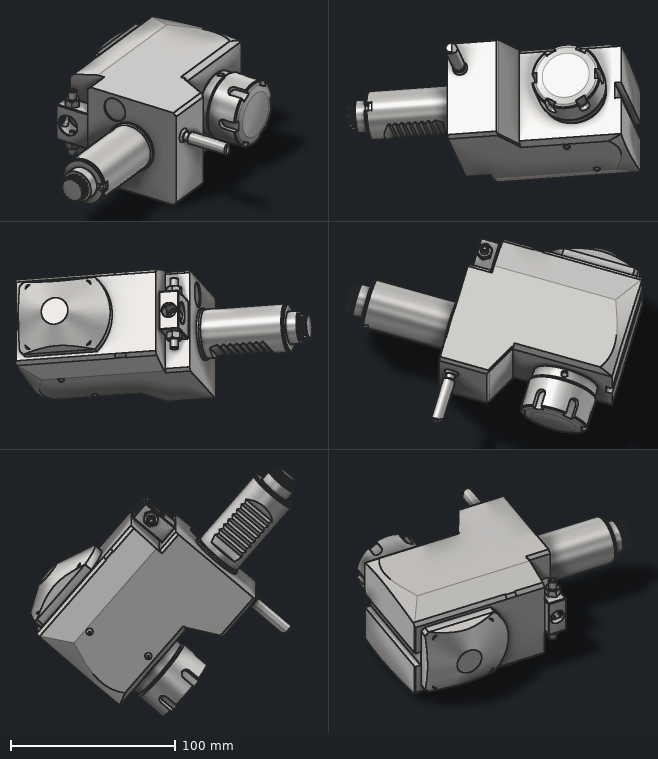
import cadquery as cq
import math


HALF_HEIGHT = 32.0
HALF_WIDTH = 32.1
LEFT_X = -54.9
HEAD_RIGHT_X = 12.1
BACK_Y = 104.0
STEP_Y = 15.4
HEAD_FRONT_Y = 41.0
SLOPE_END = (30.5, 31.5)
SLOPE_CORNER_Y = 30.3
SLOPE_TOP_X = -34.9
SLOPE_FOOT_X = -52.7
SLOPE_FOOT_Z = 27.4
LEFT_FACE_Z = 25.0
BACK_LEFT_BEVEL = 0.7
CREST_X, CREST_TOP_Y, CREST_LOW_Y = -5.5, 100.0, 112.9
CURVE_LEFT_TOP_Y, CURVE_LEFT_LOW_Y = 92.3, 103.1
CURVE_RIGHT_TOP_Y, CURVE_RIGHT_LOW_Y = 95.6, 109.1
CURVE_MIDDLE_TOP = (-21.5, 97.3)
CURVE_MIDDLE_LOW = (-30.8, 111.2)
BLOCK_BEVEL = 2.0
HEAD_BEVEL = 3.0
SLOPE_BEVEL = 0.9
PAD_X, PAD_Z = -53.2, 27.2
PAD_START_Y, PAD_END_Y = 34.5, 41.2
BACK_SLOT_HALF = 5.1
BACK_SLOT_DEPTH = 4.0
PLUG_X, PLUG_Z, PLUG_R, PLUG_DEPTH = -12.5, 21.5, 7.7, 1.0

SHANK_R = 15.0
COLLAR_R, COLLAR_LENGTH = 15.9, 1.4
COLLAR_TAPER = 1.0
SHANK_END_Y = -54.7
SHANK_BEVEL = 0.7
RING_MARK_Y = -53.0
NECK_R, NECK_END_Y = 10.1, -61.2
SPLINE_END_Y = -67.0
SPLINE_TIP_R, SPLINE_ROOT_R, SPLINE_TEETH = 8.2, 7.2, 18
SPLINE_TIP_SHARE, SPLINE_ROOT_SHARE = 0.15, 0.3
KEYWAY_WIDTH, KEYWAY_LENGTH, KEYWAY_FLOOR_X = 5.5, 4.8, 13.3
KEYWAY_INNER_WIDTH, KEYWAY_INNER_LENGTH = 4.1, 2.4
RACK_START_Y, RACK_SLOPE_Y, RACK_END_Y = -6.7, -40.4, -44.6
RACK_TIP_Z, RACK_ROOT_Z = -11.8, -10.6
RACK_FIRST_TIP_Y, RACK_PITCH, RACK_TEETH = -13.7, 4.1, 7

SPINDLE_Y = 74.9
RING_R, RING_END_X, RING_BEVEL = 20.2, 19.5, 0.7
SPINDLE_GROOVE_R = 16.6
NUT_R, NUT_START_X, NUT_END_X, NUT_FACE_R = 21.2, 20.3, 41.0, 14.5
NUT_BEVEL, NUT_SHOULDER_X = 0.7, 39.7
NUT_NOSE_R = 18.8
NUT_SLOT_WIDTH, NUT_SLOT_DEPTH, NUT_SLOT_START_X, NUT_SLOTS = 6.2, 3.2, 28.5, 6
RING_HOLE_R, RING_HOLE_DEPTH = 2.0, 3.5
CAP_R, CAP_TIP_R = 32.1, 8.4
CAP_RIM_X, CAP_TIP_X = -60.2, -71.0
CAP_HALF_HEIGHT, CAP_BACK_Y, CAP_CORNER = 22.9, 99.7, 2.4
CAP_DRAFT_X, CAP_DRAFT_Z = -65.0, 20.7
CAP_SCREW_R, CAP_SCREW_OFFSET, CAP_SCREW_X = 2.4, 18.1, -62.5

VALVE_LEFT_X, VALVE_HALF_HEIGHT = -55.7, 12.1
VALVE_FRONT_Y, VALVE_BACK_Y = 0.9, 13.2
VALVE_BEVEL = 0.5
VALVE_AXIS_X, VALVE_AXIS_Y = -47.0, 7.0
CAVITY_R, CAVITY_DEPTH = 6.5, 11.1
SIDE_BORE_R, SIDE_BORE_DEPTH = 4.6, 18.8
STUD_R, STUD_END_Z, STUD_Y = 2.5, 22.2, 5.8
PASSAGE_R, CAVITY_BEVEL = 1.5, 0.3
HEX_NUT_ACROSS, HEX_NUT_END_Z, HEX_NUT_BEVEL = 9.5, 16.6, 0.7
HEX_SOCKET_ACROSS, HEX_SOCKET_DEPTH = 3.0, 2.0

ROD_Y, ROD_Z = 8.0, 13.3
ROD_R, ROD_START_X, ROD_END_X = 3.8, 37.6, 65.0
ROD_NECK_R, ROD_SEAT_X = 2.7, 33.9
ROD_SEAT_R, ROD_SEAT_END_R = 4.5, 3.5
ROD_END_BEVEL, ROD_SLANT = 0.9, 2.9

NIPPLE_POSITIONS = [(-32.0, 80.9), (5.0, 69.0)]
NIPPLE_R, NIPPLE_TIP_R, NIPPLE_HEIGHT = 2.0, 0.7, 1.4

OVERLAP = 1.7
CLEAR = 17.1


def prism_y(points, y_start, y_end):
    """Extrude an (x, z) outline from y_start to y_end."""
    plane = cq.Workplane("XZ", origin=(0, y_start, 0))
    return plane.polyline(points).close().extrude(y_start - y_end)


def cylinder_y(radius, x, z, y_start, y_end):
    plane = cq.Workplane("XZ", origin=(x, y_start, z))
    return plane.circle(radius).extrude(y_start - y_end)


def cylinder_x(radius, y, z, x_start, x_end):
    plane = cq.Workplane("YZ", origin=(x_start, y, z))
    return plane.circle(radius).extrude(x_end - x_start)


def box(x_range, y_range, z_range):
    """Box between the given limits."""
    lows, highs = zip(x_range, y_range, z_range)
    sizes = [high - low for low, high in zip(lows, highs)]
    return cq.Workplane("XY", origin=lows).box(*sizes, centered=False)


def turned_x(profile, y, z):
    """Revolve an (x, radius) profile about an axis parallel to X."""
    points = [(profile[0][0], 0), *profile, (profile[-1][0], 0)]
    solid = cq.Workplane("XY").polyline(points).close().revolve(360, (0, 0, 0), (1, 0, 0))
    return solid.translate((0, y, z))


def both_heights(solid):
    """A solid together with its mirror image below Z = 0."""
    return solid.union(solid.mirror("XY"))


def edge_bevel(start, end, width):
    """Cutter for equal bevels on the top and bottom edges from start to end (material on the left)."""
    dx = end[0] - start[0]
    dy = end[1] - start[1]
    length = math.hypot(dx, dy)
    outward = cq.Vector(dy / length, -dx / length, 0)
    plane = cq.Plane(origin=(*start, HALF_HEIGHT), xDir=outward, normal=(dx, dy, 0))
    corner = [(-width - OVERLAP, -OVERLAP), (OVERLAP, -OVERLAP), (OVERLAP, width + OVERLAP)]
    return both_heights(cq.Workplane(plane).polyline(corner).close().extrude(length))


def back_rounding():
    """Cutter for the curved bevel between the top face and the back face."""
    top_right_x = HEAD_RIGHT_X - HEAD_BEVEL
    low_right_x = top_right_x + HALF_HEIGHT - SLOPE_FOOT_Z
    low_curve = [(SLOPE_FOOT_X, CURVE_LEFT_LOW_Y), CURVE_MIDDLE_LOW,
                 (CREST_X, CREST_LOW_Y), (low_right_x, CURVE_RIGHT_LOW_Y)]
    top_curve = [(SLOPE_TOP_X, CURVE_LEFT_TOP_Y), CURVE_MIDDLE_TOP,
                 (CREST_X, CREST_TOP_Y), (top_right_x, CURVE_RIGHT_TOP_Y)]
    far_y = BACK_Y + CLEAR

    def outline(plane, curve):
        plane = plane.moveTo(*curve[0]).spline(curve[1:], includeCurrent=True)
        return plane.lineTo(curve[-1][0], far_y).lineTo(curve[0][0], far_y).close()

    low = outline(cq.Workplane("XY", origin=(0, 0, SLOPE_FOOT_Z)), low_curve)
    low_and_top = outline(low.workplane(offset=HALF_HEIGHT - SLOPE_FOOT_Z), top_curve)
    return both_heights(low_and_top.loft(ruled=True))


def make_housing():
    head_corner = (HEAD_RIGHT_X, HEAD_FRONT_Y)
    plan = [
        (-HALF_WIDTH, 0), (HALF_WIDTH, 0), (HALF_WIDTH, SLOPE_CORNER_Y), SLOPE_END, head_corner,
        (HEAD_RIGHT_X, BACK_Y), (LEFT_X + BACK_LEFT_BEVEL, BACK_Y),
        (LEFT_X, BACK_Y - BACK_LEFT_BEVEL), (LEFT_X, STEP_Y), (-HALF_WIDTH, STEP_Y),
    ]
    upper_flank = [(SLOPE_TOP_X, HALF_HEIGHT), (SLOPE_FOOT_X, SLOPE_FOOT_Z), (LEFT_X, LEFT_FACE_Z)]
    lower_flank = [(x, -z) for x, z in reversed(upper_flank)]
    section = [(HALF_WIDTH, HALF_HEIGHT), *upper_flank, *lower_flank, (HALF_WIDTH, -HALF_HEIGHT)]

    housing = cq.Workplane("XY").workplane(offset=-HALF_HEIGHT).polyline(plan).close()
    housing = housing.extrude(2 * HALF_HEIGHT)
    front_space = box((-HALF_WIDTH, HALF_WIDTH), (0, STEP_Y), (-HALF_HEIGHT, HALF_HEIGHT))
    housing = housing.intersect(prism_y(section, STEP_Y, BACK_Y).union(front_space))

    bevels = [
        ((-HALF_WIDTH, STEP_Y), (-HALF_WIDTH, 0), BLOCK_BEVEL),
        ((HALF_WIDTH, 0), (HALF_WIDTH, HEAD_FRONT_Y), BLOCK_BEVEL),
        (SLOPE_END, head_corner, SLOPE_BEVEL),
        (head_corner, (HEAD_RIGHT_X, BACK_Y), HEAD_BEVEL),
    ]
    for start, end, width in bevels:
        housing = housing.cut(edge_bevel(start, end, width))
    housing = housing.cut(back_rounding())

    pad_section = [(LEFT_X, LEFT_FACE_Z), (PAD_X, PAD_Z), (SLOPE_FOOT_X, SLOPE_FOOT_Z)]
    housing = housing.union(both_heights(prism_y(pad_section, PAD_START_Y, PAD_END_Y)))

    back_slot = box((LEFT_X - CLEAR, HEAD_RIGHT_X + CLEAR), (BACK_Y - BACK_SLOT_DEPTH, BACK_Y + CLEAR),
                    (-BACK_SLOT_HALF, BACK_SLOT_HALF))
    plug_recess = cylinder_y(PLUG_R, PLUG_X, PLUG_Z, 0, PLUG_DEPTH)
    return housing.cut(back_slot).cut(plug_recess)


def make_spline():
    pitch = 2 * math.pi / SPLINE_TEETH
    points = []
    for tooth in range(SPLINE_TEETH):
        centre = -math.pi / 2 + tooth * pitch
        for radius, share in [(SPLINE_ROOT_R, -SPLINE_ROOT_SHARE), (SPLINE_TIP_R, -SPLINE_TIP_SHARE),
                              (SPLINE_TIP_R, SPLINE_TIP_SHARE), (SPLINE_ROOT_R, SPLINE_ROOT_SHARE)]:
            angle = centre + share * pitch
            points.append((radius * math.cos(angle), radius * math.sin(angle)))
    return prism_y(points, NECK_END_Y + OVERLAP, SPLINE_END_Y)


def make_rack_cut():
    """Cutter for the clamping teeth across the underside of the shank."""
    floor_z = -SHANK_R - CLEAR
    points = [(RACK_START_Y, floor_z), (RACK_START_Y, RACK_TIP_Z)]
    for tooth in range(RACK_TEETH):
        tip_y = RACK_FIRST_TIP_Y - tooth * RACK_PITCH
        points.append((tip_y + RACK_PITCH / 2, RACK_ROOT_Z))
        points.append((tip_y, RACK_TIP_Z))
    points.append((RACK_SLOPE_Y, RACK_ROOT_Z))
    points.append((RACK_END_Y, -SHANK_R))
    points.append((RACK_END_Y, floor_z))
    return cq.Workplane("YZ").polyline(points).close().extrude(SHANK_R + CLEAR, both=True)


def make_shank():
    profile = [
        (0, OVERLAP), (COLLAR_R, OVERLAP), (COLLAR_R, -COLLAR_LENGTH),
        (SHANK_R, -COLLAR_LENGTH - COLLAR_TAPER), (SHANK_R, RING_MARK_Y),
        (SHANK_R - SHANK_BEVEL / 2, RING_MARK_Y - SHANK_BEVEL / 2),
        (SHANK_R - SHANK_BEVEL / 2, SHANK_END_Y + SHANK_BEVEL),
        (SHANK_R - SHANK_BEVEL, SHANK_END_Y),
        (NECK_R, SHANK_END_Y), (NECK_R, NECK_END_Y), (0, NECK_END_Y),
    ]
    shank = cq.Workplane("XY").polyline(profile).close().revolve(360, (0, 0, 0), (0, 1, 0))
    levels = [(KEYWAY_FLOOR_X, KEYWAY_WIDTH, KEYWAY_LENGTH),
              (NECK_R, KEYWAY_INNER_WIDTH, KEYWAY_INNER_LENGTH)]
    for floor_x, width, length in levels:
        keyway = box((floor_x, COLLAR_R + CLEAR), (SHANK_END_Y - OVERLAP, SHANK_END_Y + length),
                     (-width / 2, width / 2))
        shank = shank.cut(keyway)
    return shank.cut(make_rack_cut()).union(make_spline())


def make_spindle():
    profile = [
        (HEAD_RIGHT_X - OVERLAP, RING_R - RING_BEVEL), (HEAD_RIGHT_X, RING_R - RING_BEVEL),
        (HEAD_RIGHT_X + RING_BEVEL, RING_R), (RING_END_X - RING_BEVEL, RING_R),
        (RING_END_X, RING_R - RING_BEVEL), (RING_END_X, SPINDLE_GROOVE_R), (NUT_START_X, SPINDLE_GROOVE_R),
        (NUT_START_X, NUT_R), (NUT_SHOULDER_X - NUT_BEVEL, NUT_R),
        (NUT_SHOULDER_X, NUT_R - NUT_BEVEL), (NUT_SHOULDER_X + NUT_BEVEL, NUT_NOSE_R),
        (NUT_END_X, NUT_FACE_R),
    ]
    spindle = turned_x(profile, SPINDLE_Y, 0)

    slot_end_x = NUT_SLOT_START_X + NUT_SLOT_WIDTH / 2
    slot = cq.Workplane("XY").workplane(offset=NUT_R - NUT_SLOT_DEPTH)
    slot = slot.moveTo(NUT_END_X + CLEAR, NUT_SLOT_WIDTH / 2).lineTo(slot_end_x, NUT_SLOT_WIDTH / 2)
    slot = slot.threePointArc((NUT_SLOT_START_X, 0), (slot_end_x, -NUT_SLOT_WIDTH / 2))
    slot = slot.lineTo(NUT_END_X + CLEAR, -NUT_SLOT_WIDTH / 2).close().extrude(CLEAR)
    spacing = 360 / NUT_SLOTS
    for index in range(NUT_SLOTS):
        turned = slot.rotate((0, 0, 0), (1, 0, 0), (index + 0.5) * spacing)
        spindle = spindle.cut(turned.translate((0, SPINDLE_Y, 0)))

    ring_middle_x = (HEAD_RIGHT_X + RING_END_X) / 2
    ring_hole = cq.Workplane("XY", origin=(ring_middle_x, SPINDLE_Y, RING_R - RING_HOLE_DEPTH))
    return spindle.cut(ring_hole.circle(RING_HOLE_R).extrude(CLEAR))


def make_cap():
    inside_x = LEFT_X + OVERLAP
    cap = turned_x([(CAP_TIP_X, CAP_TIP_R), (CAP_RIM_X, CAP_R), (inside_x, CAP_R)], SPINDLE_Y, 0)
    draft = (CAP_HALF_HEIGHT - CAP_DRAFT_Z) / (CAP_RIM_X - CAP_DRAFT_X)
    tip_z = CAP_HALF_HEIGHT - draft * (CAP_RIM_X - CAP_TIP_X)
    upper = [(inside_x, CAP_HALF_HEIGHT), (CAP_RIM_X, CAP_HALF_HEIGHT), (CAP_TIP_X, tip_z)]
    lower = [(x, -z) for x, z in reversed(upper)]
    cap = cap.intersect(prism_y(upper + lower, SPINDLE_Y - CAP_R - OVERLAP, CAP_BACK_Y))
    for y_side in (-1, 1):
        for z_side in (-1, 1):
            screw = cylinder_x(CAP_SCREW_R, SPINDLE_Y + y_side * CAP_SCREW_OFFSET,
                               z_side * CAP_SCREW_OFFSET, CAP_SCREW_X, inside_x)
            cap = cap.union(screw)
    back_limit = box((CAP_TIP_X, inside_x), (SPINDLE_Y - CAP_R - OVERLAP, CAP_BACK_Y),
                     (-CAP_HALF_HEIGHT, CAP_HALF_HEIGHT))
    return cap.intersect(back_limit.edges("|X and >Y").chamfer(CAP_CORNER))


def make_valve_block():
    block = box((VALVE_LEFT_X, -HALF_WIDTH), (VALVE_FRONT_Y, VALVE_BACK_Y),
                (-VALVE_HALF_HEIGHT, VALVE_HALF_HEIGHT))
    block = block.faces("<X or <Y or >Y").edges("not(>X)").chamfer(VALVE_BEVEL)
    root = box((-HALF_WIDTH - OVERLAP, -HALF_WIDTH + OVERLAP),
               (VALVE_FRONT_Y + VALVE_BEVEL, VALVE_BACK_Y - VALVE_BEVEL),
               (-VALVE_HALF_HEIGHT + VALVE_BEVEL, VALVE_HALF_HEIGHT - VALVE_BEVEL))
    block = block.union(root)

    socket = cq.Workplane("XY").polygon(6, HEX_SOCKET_ACROSS).extrude(-HEX_SOCKET_DEPTH)
    stud = cq.Workplane("XY").workplane(offset=VALVE_HALF_HEIGHT - OVERLAP)
    stud = stud.circle(STUD_R).extrude(STUD_END_Z - VALVE_HALF_HEIGHT + OVERLAP)
    stud = stud.faces(">Z").chamfer(VALVE_BEVEL).cut(socket.translate((0, 0, STUD_END_Z)))
    nut_base = cq.Workplane("XY").workplane(offset=VALVE_HALF_HEIGHT - OVERLAP)
    nut_length = HEX_NUT_END_Z - VALVE_HALF_HEIGHT + OVERLAP
    nut_limit = nut_base.circle(HEX_NUT_ACROSS / 2).extrude(nut_length).faces(">Z").chamfer(HEX_NUT_BEVEL)
    hex_nut = nut_base.polygon(6, HEX_NUT_ACROSS).extrude(nut_length).intersect(nut_limit)
    fitting = stud.union(hex_nut).translate((VALVE_AXIS_X, STUD_Y, 0))
    block = block.union(both_heights(fitting))

    cavity = cylinder_y(CAVITY_R, VALVE_AXIS_X, 0, VALVE_FRONT_Y, VALVE_FRONT_Y + CAVITY_DEPTH)
    bore_end_x = VALVE_LEFT_X + SIDE_BORE_DEPTH
    side_bore = cylinder_x(SIDE_BORE_R, VALVE_AXIS_Y, 0, VALVE_LEFT_X, bore_end_x)
    bore_socket = cq.Workplane("YZ", origin=(bore_end_x, VALVE_AXIS_Y, 0))
    bore_socket = bore_socket.polygon(6, HEX_SOCKET_ACROSS).extrude(HEX_SOCKET_DEPTH)
    passage = cq.Workplane("XY", origin=(VALVE_AXIS_X, STUD_Y, 0)).circle(PASSAGE_R)
    passage = passage.extrude(VALVE_HALF_HEIGHT, both=True)
    block = block.cut(cavity).faces("<Y").edges("%CIRCLE").chamfer(CAVITY_BEVEL)
    return block.cut(side_bore).cut(bore_socket).cut(passage)


def make_coolant_rod():
    profile = [
        (HALF_WIDTH - OVERLAP, ROD_SEAT_R), (HALF_WIDTH, ROD_SEAT_R), (ROD_SEAT_X, ROD_SEAT_END_R),
        (ROD_SEAT_X, ROD_NECK_R), (ROD_START_X - ROD_END_BEVEL, ROD_NECK_R),
        (ROD_START_X, ROD_R), (ROD_END_X - ROD_END_BEVEL, ROD_R), (ROD_END_X, ROD_R - ROD_END_BEVEL),
    ]
    rod = turned_x(profile, ROD_Y, ROD_Z)
    slant = cq.Workplane("XY").polyline([
        (ROD_END_X - ROD_SLANT, ROD_Y + ROD_R), (ROD_END_X, ROD_Y + ROD_R),
        (ROD_END_X, ROD_Y + ROD_R - ROD_SLANT),
    ]).close().extrude(ROD_Z + CLEAR)
    return rod.cut(slant)


def make_nipple(x, y):
    start = cq.Workplane("XY", origin=(x, y, -HALF_HEIGHT + OVERLAP))
    base = start.circle(NIPPLE_R).extrude(-OVERLAP)
    tip = base.faces("<Z").workplane().circle(NIPPLE_R)
    return tip.workplane(offset=NIPPLE_HEIGHT).circle(NIPPLE_TIP_R).loft()


result = make_housing()
for piece in (make_shank(), make_spindle(), make_cap(), make_valve_block(), make_coolant_rod()):
    result = result.union(piece)
for nipple_x, nipple_y in NIPPLE_POSITIONS:
    result = result.union(make_nipple(nipple_x, nipple_y))